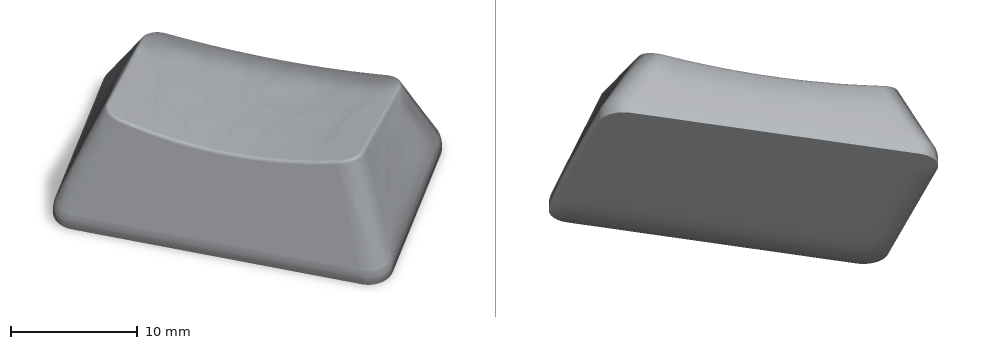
import cadquery as cq
import math

length = 27.7
width = 18.16
base_corner_radius = 2.0
skirt_height = 0.65

shoulder_height = 0.7
side_lean = 0.43
front_lean = 0.46
back_lean = 0.1

top_height = 8.47
top_slope = 0.24
top_length = 20.82
top_front_y = -5.07
top_back_y = 8.58
top_corner_radius = 1.75

dish_half_span = 10.8
dish_edge_height = 8.33
dish_front_sag = 1.75
dish_back_sag = 0.8
rim_radius = 0.28

tilt = math.atan(top_slope)


def rounded_rectangle(plane, size_x, size_y, radius):
    """Closed outline centred on the plane's origin."""
    along_normal = cq.selectors.ParallelDirSelector(plane.zDir)
    lowest = cq.selectors.DirectionMinMaxSelector(plane.zDir, directionMax=False)
    block = cq.Workplane(plane).rect(size_x, size_y).extrude(radius)
    return block.edges(along_normal).fillet(radius).faces(lowest).wires().val()


def shoulder_outline(rise):
    """Outline at a fraction of the shoulder height, on a parabola tangent to skirt and wall."""
    run = rise**2 * shoulder_height / 2
    front_y = -width / 2 + front_lean * run
    back_y = width / 2 - back_lean * run
    plane = cq.Plane.XY(origin=(0, (front_y + back_y) / 2, skirt_height + rise * shoulder_height))
    return rounded_rectangle(plane, length - 2 * side_lean * run, back_y - front_y, base_corner_radius)


def top_outline():
    """Outline on the tilted plane that falls toward +Y."""
    middle_y = (top_front_y + top_back_y) / 2
    plane = cq.Plane(
        origin=(0, middle_y, top_height - top_slope * middle_y),
        xDir=(1, 0, 0),
        normal=(0, math.sin(tilt), math.cos(tilt)),
    )
    depth = (top_back_y - top_front_y) / math.cos(tilt)
    return rounded_rectangle(plane, top_length, depth, top_corner_radius)


def undished_body():
    """Skirt, shoulder and straight-sided taper joined in one solid."""
    skirt = cq.Workplane().box(length, width, skirt_height, centered=(True, True, False))
    skirt = skirt.edges("|Z").fillet(base_corner_radius)
    shoulder_outlines = [shoulder_outline(rise) for rise in (0, 0.5, 1)]
    shoulder = cq.Solid.makeLoft(shoulder_outlines)
    taper = cq.Solid.makeLoft([shoulder_outlines[-1], top_outline()], True)
    return skirt.union(cq.Workplane(shoulder)).union(cq.Workplane(taper))


def dish_section(y, sag):
    """Upright outline at one Y, with an arc sagging below the tilted top as its lower side."""
    edge_z = dish_edge_height - top_slope * y
    outline = (
        cq.Workplane(cq.Plane.XZ(origin=(0, y, 0)))
        .moveTo(-dish_half_span, edge_z)
        .threePointArc((0, edge_z - sag), (dish_half_span, edge_z))
        .lineTo(dish_half_span, 2 * top_height)
        .lineTo(-dish_half_span, 2 * top_height)
        .close()
    )
    return outline.val()


def dish_cutter():
    front = dish_section(-width / 2, dish_front_sag)
    back = dish_section(width / 2, dish_back_sag)
    return cq.Workplane(cq.Solid.makeLoft([front, back], True))


body = undished_body().cut(dish_cutter())
dish_face = body.faces(cq.selectors.NearestToPointSelector((0, 0, dish_edge_height - dish_front_sag)))
result = dish_face.edges().fillet(rim_radius)